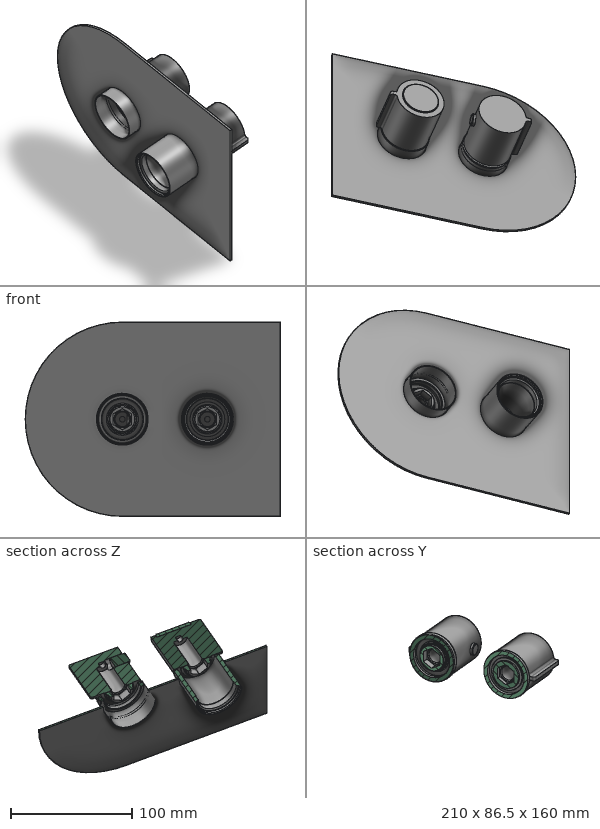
import cadquery as cq
import math


PLATE_LENGTH = 210
PLATE_HEIGHT = 160.0
PLATE_THICKNESS = 2.0
PLATE_HOLE_DIAMETER = 42.5
AXIS_SPACING = PLATE_LENGTH / 3

SLEEVE_DIAMETER = 42
SHORT_BORE_DIAMETER = 40.5
SHORT_SLEEVE_FRONT = -12.2
SHORT_SLEEVE_BACK = 12.8
SHORT_BORE_END = 10.7
SHORT_OPENING_DIAMETER = 33.5
LONG_SLEEVE_FRONT = -31.0
LONG_SLEEVE_BACK = 11.0
LONG_MOUTH_DIAMETER = 40.5
LONG_ENTRY_DIAMETER = 39.0
LONG_MOUTH_CHAMFER = (LONG_MOUTH_DIAMETER - LONG_ENTRY_DIAMETER) / 2
LONG_ENTRY_DEPTH = 2.5
LONG_SEAT_DIAMETER = 37.4
LONG_SEAT_DEPTH = 1.0
LONG_RELIEF_DIAMETER = 34.9
LONG_RELIEF_DEPTH = 8.5
LONG_BORE_DIAMETER = 34.0

RING_FRONT = 6.7
RING_CHAMFER = 0.6

HANDLE_DIAMETER = 40.7
HANDLE_LENGTH = 41.5
SHORT_HANDLE_FRONT = 14.0
LONG_HANDLE_FRONT = 11.5
RIB_REACH = 25.5
RIB_THICKNESS = 3.4
RIB_ROOT_RADIUS = 2
RIB_END_RADIUS = 1.9
SOCKET_DEPTH = 27.7
SOCKET_MOUTH_DIAMETER = 13.9
SOCKET_DIAMETER = 12.2
CENTRE_HOLE_DIAMETER = 4.6
CENTRE_HOLE_DEPTH = 4.2

HUB_LENGTH = 6.7
HUB_BOSS_DIAMETER = 22.5
HUB_BOSS_CHAMFER = 1.0
HUB_STEP_DIAMETER = 24.4
HUB_STEP_THICKNESS = 3.4
HUB_FLANGE_THICKNESS = 1.7
SHORT_HUB_FLANGE_DIAMETER = 26.5
LONG_HUB_FLANGE_DIAMETER = 28.5
HEX_ACROSS_FLATS = 15.1

BUTTON_DIAMETER = 10.0
BUTTON_CHAMFER = 0.6
BUTTON_INNER_END = 8.5
BUTTON_OUTER_END = 22.7
BUTTON_HOLE_START = 3.8
CAP_DIAMETER = 31.0
CAP_RECESS_DEPTH = 2
CAP_STAND_OUT = 0.8
CAP_CHAMFER = 0.6


def turned(profile):
    """Revolve a closed (radius, y) outline around the Y axis."""
    return cq.Workplane("XY").polyline(profile).close().revolve(360, (0, 0), (0, 1))


def rod(diameter, front, back):
    """Cylinder on the Y axis from y = front to y = back."""
    return cq.Workplane("XZ", origin=(0, front, 0)).circle(diameter / 2).extrude(front - back)


def make_plate():
    """Plate with a half-round left end and one clearance hole for each sleeve."""
    end_radius = PLATE_HEIGHT / 2
    right = PLATE_LENGTH - end_radius
    return (
        cq.Workplane("XZ")
        .moveTo(0, end_radius)
        .lineTo(right, end_radius)
        .lineTo(right, -end_radius)
        .lineTo(0, -end_radius)
        .threePointArc((-end_radius, 0), (0, end_radius))
        .close()
        .pushPoints([(0, 0), (AXIS_SPACING, 0)])
        .circle(PLATE_HOLE_DIAMETER / 2)
        .extrude(-PLATE_THICKNESS)
    )


def make_short_sleeve():
    """Thin sleeve with a round opening in its rear end wall."""
    outer = SLEEVE_DIAMETER / 2
    bore = SHORT_BORE_DIAMETER / 2
    opening = SHORT_OPENING_DIAMETER / 2
    return turned([
        (bore, SHORT_SLEEVE_FRONT),
        (outer, SHORT_SLEEVE_FRONT),
        (outer, SHORT_SLEEVE_BACK),
        (opening, SHORT_SLEEVE_BACK),
        (opening, SHORT_BORE_END),
        (bore, SHORT_BORE_END),
    ])


def make_long_sleeve():
    """Sleeve whose bore narrows in steps behind its chamfered mouth."""
    outer = SLEEVE_DIAMETER / 2
    entry = LONG_ENTRY_DIAMETER / 2
    relief = LONG_RELIEF_DIAMETER / 2
    bore = LONG_BORE_DIAMETER / 2
    seat_start = LONG_SLEEVE_FRONT + LONG_ENTRY_DEPTH
    relief_end = LONG_SLEEVE_FRONT + LONG_RELIEF_DEPTH
    return turned([
        (LONG_MOUTH_DIAMETER / 2, LONG_SLEEVE_FRONT),
        (outer, LONG_SLEEVE_FRONT),
        (outer, LONG_SLEEVE_BACK),
        (bore, LONG_SLEEVE_BACK),
        (bore, relief_end),
        (relief, relief_end),
        (relief, seat_start + LONG_SEAT_DEPTH),
        (LONG_SEAT_DIAMETER / 2, seat_start),
        (entry, seat_start),
        (entry, LONG_SLEEVE_FRONT + LONG_MOUTH_CHAMFER),
    ])


def make_retaining_ring():
    """Flat ring against the short sleeve's end wall, chamfered on both front edges."""
    outer = SHORT_BORE_DIAMETER / 2
    hole = SHORT_OPENING_DIAMETER / 2
    return turned([
        (hole + RING_CHAMFER, RING_FRONT),
        (outer - RING_CHAMFER, RING_FRONT),
        (outer, RING_FRONT + RING_CHAMFER),
        (outer, SHORT_BORE_END),
        (hole, SHORT_BORE_END),
        (hole, RING_FRONT + RING_CHAMFER),
    ])


def make_hub(handle_front, flange_diameter):
    """Stepped hub with a through hexagonal opening, seated on a handle's front face."""
    front = handle_front - HUB_LENGTH
    boss = HUB_BOSS_DIAMETER / 2
    step = HUB_STEP_DIAMETER / 2
    flange = flange_diameter / 2
    step_front = handle_front - HUB_STEP_THICKNESS
    flange_front = handle_front - HUB_FLANGE_THICKNESS
    body = turned([
        (0, front),
        (boss - HUB_BOSS_CHAMFER, front),
        (boss, front + HUB_BOSS_CHAMFER),
        (boss, step_front),
        (step, step_front),
        (step, flange_front),
        (flange, flange_front),
        (flange, handle_front),
        (0, handle_front),
    ])
    half_side_angle = 30
    hexagon = (
        cq.Workplane("XZ", origin=(0, front, 0))
        .transformed(rotate=(0, 0, half_side_angle))
        .polygon(6, HEX_ACROSS_FLATS / math.cos(math.radians(half_side_angle)))
        .extrude(-HUB_LENGTH)
    )
    return body.cut(hexagon)


def make_rib(front, side):
    """Radial rib along a handle, with flared roots and rounded outer corners."""
    radius = HANDLE_DIAMETER / 2
    half = RIB_THICKNESS / 2
    fillet_z = half + RIB_ROOT_RADIUS
    fillet_x = math.sqrt((radius + RIB_ROOT_RADIUS) ** 2 - fillet_z**2)
    contact = radius / (radius + RIB_ROOT_RADIUS)
    contact_x = fillet_x * contact
    contact_z = fillet_z * contact
    contact_angle = math.pi + math.atan2(fillet_z, fillet_x)
    flat_angle = 3 * math.pi / 2
    middle_angle = (contact_angle + flat_angle) / 2
    middle_x = fillet_x + RIB_ROOT_RADIUS * math.cos(middle_angle)
    middle_z = fillet_z + RIB_ROOT_RADIUS * math.sin(middle_angle)
    rib = (
        cq.Workplane("XZ", origin=(0, front, 0))
        .moveTo(0, contact_z)
        .lineTo(side * contact_x, contact_z)
        .threePointArc((side * middle_x, middle_z), (side * fillet_x, half))
        .lineTo(side * RIB_REACH, half)
        .lineTo(side * RIB_REACH, -half)
        .lineTo(side * fillet_x, -half)
        .threePointArc((side * middle_x, -middle_z), (side * contact_x, -contact_z))
        .lineTo(0, -contact_z)
        .close()
        .extrude(-HANDLE_LENGTH)
    )
    outer_face = ">X" if side > 0 else "<X"
    return rib.faces(outer_face).edges("|Z").fillet(RIB_END_RADIUS)


def make_handle(front, side):
    """Round handle with one rib and a countersunk socket in its front face."""
    mouth = SOCKET_MOUTH_DIAMETER / 2
    bore = SOCKET_DIAMETER / 2
    centre_hole = CENTRE_HOLE_DIAMETER / 2
    floor = front + SOCKET_DEPTH
    socket = turned([
        (0, front),
        (mouth, front),
        (bore, front + mouth - bore),
        (bore, floor),
        (centre_hole, floor),
        (centre_hole, floor + CENTRE_HOLE_DEPTH),
        (0, floor + CENTRE_HOLE_DEPTH),
    ])
    body = rod(HANDLE_DIAMETER, front, front + HANDLE_LENGTH)
    return body.union(make_rib(front, side)).cut(socket)


def radial_rod(start, end):
    """Cylinder of the button's diameter along X, level with the short handle's socket floor."""
    axis_y = SHORT_HANDLE_FRONT + SOCKET_DEPTH
    return cq.Workplane("YZ", origin=(start, axis_y, 0)).circle(BUTTON_DIAMETER / 2).extrude(end - start)


def make_short_handle():
    """Handle with its rib towards -X and a radial hole for the button towards +X."""
    return make_handle(SHORT_HANDLE_FRONT, -1).cut(radial_rod(BUTTON_HOLE_START, BUTTON_OUTER_END))


def make_button():
    """Round button standing out of the short handle's side."""
    return radial_rod(BUTTON_INNER_END, BUTTON_OUTER_END).faces(">X").chamfer(BUTTON_CHAMFER)


def make_long_handle():
    """Handle with its rib towards +X and a recess for the cap in its rear end."""
    rear = LONG_HANDLE_FRONT + HANDLE_LENGTH
    return make_handle(LONG_HANDLE_FRONT, 1).cut(rod(CAP_DIAMETER, rear - CAP_RECESS_DEPTH, rear))


def make_cap():
    """Round cap standing slightly proud of the long handle's rear end."""
    rear = LONG_HANDLE_FRONT + HANDLE_LENGTH
    cap = rod(CAP_DIAMETER, rear - CAP_RECESS_DEPTH, rear + CAP_STAND_OUT)
    return cap.faces(">Y").chamfer(CAP_CHAMFER)


plate = make_plate()

short_sleeve = make_short_sleeve()
retaining_ring = make_retaining_ring()
short_hub = make_hub(SHORT_HANDLE_FRONT, SHORT_HUB_FLANGE_DIAMETER)
short_handle = make_short_handle()
button = make_button()

long_offset = (AXIS_SPACING, 0, 0)
long_sleeve = make_long_sleeve().translate(long_offset)
long_hub = make_hub(LONG_HANDLE_FRONT, LONG_HUB_FLANGE_DIAMETER).translate(long_offset)
long_handle = make_long_handle().translate(long_offset)
cap = make_cap().translate(long_offset)

result = cq.Compound.makeCompound([
    plate.val(),
    short_sleeve.val(),
    retaining_ring.val(),
    short_hub.val(),
    short_handle.val(),
    button.val(),
    long_sleeve.val(),
    long_hub.val(),
    long_handle.val(),
    cap.val(),
])